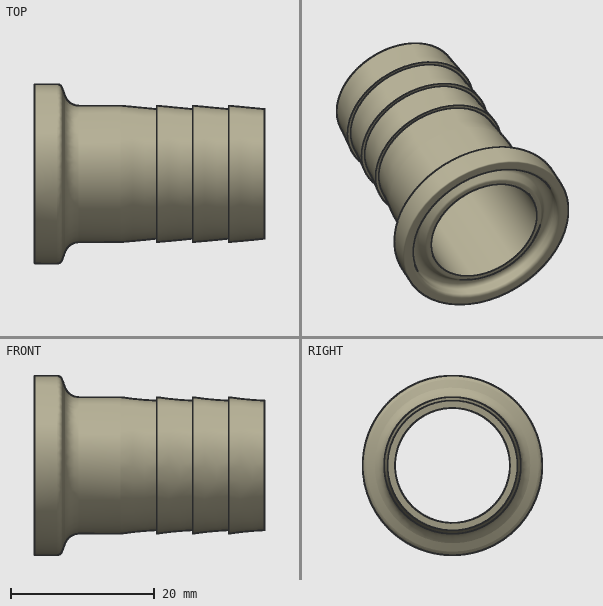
import cadquery as cq
import math

length = 32.0
bore_radius = 7.97
tube_radius = 9.5

flange_diameter = 25.0
flange_radius = flange_diameter / 2
flange_rim_end = 3.68
clamp_angle = 20.0
front_edge_fillet = 0.2
flange_edge_fillet = 0.8
neck_fillet = 2.0

groove_radius = 10.85
groove_wall_depth = 1.35
groove_bottom_radius = 0.8
groove_mouth_fillet = 0.55
inner_wall_angle = 35.0
land_recess = 0.77
land_edge_fillet = 0.4

barb_count = 4
barb_start = 12.0
barb_tip_radius = 9.02
barb_length = (length - barb_start) / barb_count


def revolve_about_x(profile):
    return profile.close().revolve(360, (0, 0, 0), (1, 0, 0))


def circle_at(x, radius):
    """Selector for the circular edge at a given place along the axis."""
    margin = 0.015
    return cq.selectors.BoxSelector(
        (x - margin, -radius - margin, -radius - margin),
        (x + margin, radius + margin, radius + margin),
        boundingbox=True,
    )


def make_body():
    cone_length = (flange_radius - tube_radius) * math.tan(math.radians(clamp_angle))
    neck = flange_rim_end + cone_length
    profile = (
        cq.Workplane("XY")
        .lineTo(0, flange_radius)
        .lineTo(flange_rim_end, flange_radius)
        .lineTo(neck, tube_radius)
        .lineTo(barb_start, tube_radius)
    )
    for index in range(barb_count):
        barb_end = barb_start + (index + 1) * barb_length
        profile = profile.lineTo(barb_end, barb_tip_radius)
        if index < barb_count - 1:
            profile = profile.lineTo(barb_end, tube_radius)
    body = revolve_about_x(profile.lineTo(length, 0))
    body = body.edges(circle_at(neck, tube_radius)).fillet(neck_fillet)
    body = body.edges(circle_at(flange_rim_end, flange_radius)).fillet(flange_edge_fillet)
    return body.edges(circle_at(0, flange_radius)).fillet(front_edge_fillet)


def make_face_recess():
    angle = math.radians(inner_wall_angle)
    arc_center_radius = groove_radius - groove_bottom_radius
    arc_end_x = groove_wall_depth + groove_bottom_radius * math.sin(angle)
    arc_end_radius = arc_center_radius - groove_bottom_radius * math.cos(angle)
    land_radius = arc_end_radius - (arc_end_x - land_recess) * math.tan(angle)
    recess = revolve_about_x(
        cq.Workplane("XY")
        .lineTo(0, groove_radius)
        .lineTo(groove_wall_depth, groove_radius)
        .threePointArc(
            (groove_wall_depth + groove_bottom_radius, arc_center_radius),
            (arc_end_x, arc_end_radius),
        )
        .lineTo(land_recess, land_radius)
        .lineTo(land_recess, 0)
    )
    return recess.edges(circle_at(land_recess, land_radius)).fillet(land_edge_fillet)


body = make_body().cut(make_face_recess())
body = body.edges(circle_at(0, groove_radius)).fillet(groove_mouth_fillet)
bore = cq.Workplane("YZ").circle(bore_radius).extrude(length)
result = body.cut(bore)